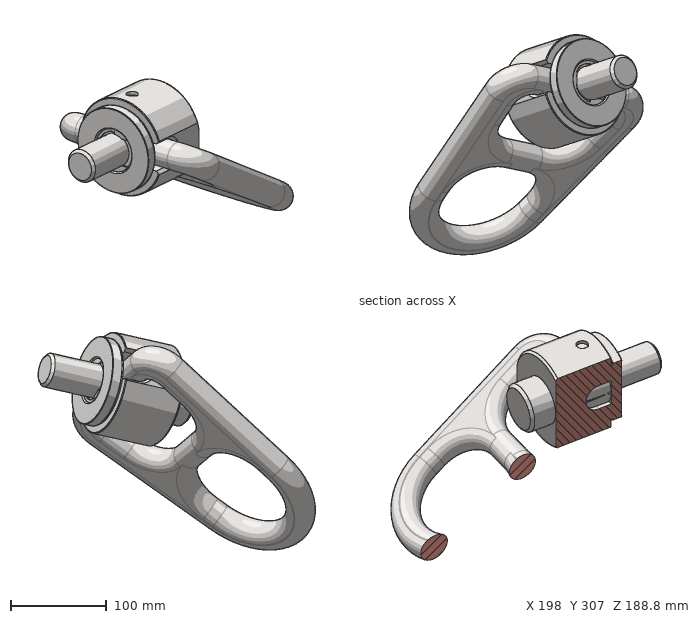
import cadquery as cq
import math


OVERALL_LENGTH = 307.0

RING_TILT = 30.0
BAR_RADIUS = 15.0
RING_TOP = 239.5
RING_TOP_RADIUS = 67.5
CORNER_HALF_SPAN = 61.0
CORNER_RADIUS = 23.0
CROSSBAR_HEIGHT = 107.0
LOWER_CORNER_HALF_SPAN = 48.0
LOWER_CORNER_RADIUS = 27.5
LOWER_TOP_HALF_SPAN = 20.0
LOWER_TOP_RADIUS = 52.2
UPPER_CORNER_HALF_SPAN = 14.5
UPPER_CORNER_RADIUS = 53.5
TOP_FLAT_WIDTH = 1.0

SCREW_TIP = RING_TOP * math.cos(math.radians(RING_TILT)) + BAR_RADIUS - OVERALL_LENGTH
FLANGE_FRONT = -28.5
FLANGE_BACK = -17.2
BLOCK_FRONT = -15.5
BLOCK_BACK = 52.8
BUSHING_BACK = 81.5

SCREW_RADIUS = 18.0
SCREW_CHAMFER = 3.0
FLANGE_RADIUS = 47.0
FLANGE_CHAMFER = 0.5
NECK_RADIUS = 45.5
BLOCK_RADIUS = 54.0
BLOCK_HALF_WIDTH = 50.5
BLOCK_BACK_CHAMFER = 2.5
BLOCK_FRONT_CHAMFER = 1.0
BUSHING_RADIUS = 27.0
BUSHING_CHAMFER = 3.5

POCKET_CLEARANCE = 0.3
POCKET_HALF_HEIGHT = BAR_RADIUS + POCKET_CLEARANCE
POCKET_FLARE = 3.5
FLARE_ANGLE = 45.0
TRUNNION_END = BUSHING_RADIUS

PIN_HOLE_RADIUS = 6.5
PIN_HOLE_Y = 3.7
PIN_HOLE_DEPTH = 4.0

BORE_RADIUS = 23.5
BORE_CHAMFER = 1.5
CLIP_INSET = 1.8
CLIP_THICKNESS = 1.8
CLIP_INNER_RADIUS = 20.5
CLIP_FLAT = 18.5
CLIP_OPENING = 30.0


def ring_path(start, floor, low_half_span, low_radius, top_half_span, top, top_radius):
    """Symmetric path: floor, two low corners, tangent sides, two top corners, top."""
    low_center = floor + low_radius
    top_center = top - top_radius
    span = low_half_span - top_half_span
    rise = top_center - low_center
    side_angle = math.atan2(span, rise) - math.asin((top_radius - low_radius) / math.hypot(span, rise))

    def on_low(angle):
        return (low_half_span + low_radius * math.cos(angle), low_center + low_radius * math.sin(angle))

    def on_top(angle):
        return (top_half_span + top_radius * math.cos(angle), top_center + top_radius * math.sin(angle))

    def mirrored(point):
        return (-point[0], point[1])

    low_middle = on_low((side_angle - math.pi / 2) / 2)
    side_low = on_low(side_angle)
    side_top = on_top(side_angle)
    top_middle = on_top((side_angle + math.pi / 2) / 2)

    path = cq.Workplane("XY").moveTo(start, floor).lineTo(low_half_span, floor)
    path = path.threePointArc(low_middle, side_low).lineTo(*side_top)
    if top_half_span > 0:
        path = path.threePointArc(top_middle, (top_half_span, top)).lineTo(-top_half_span, top)
        path = path.threePointArc(mirrored(top_middle), mirrored(side_top))
    else:
        path = path.threePointArc((0, top), mirrored(side_top))
    path = path.lineTo(*mirrored(side_low))
    path = path.threePointArc(mirrored(low_middle), (-low_half_span, floor))
    return path.lineTo(-start, floor)


def round_edge(path, start, floor, side):
    """Half-round bar along a path, bulging up (side 1) or down (side -1) at the start."""
    profile = (
        cq.Workplane("YZ", origin=(start, floor, 0))
        .moveTo(0, -BAR_RADIUS)
        .threePointArc((side * BAR_RADIUS, 0), (0, BAR_RADIUS))
        .close()
    )
    return profile.sweep(path)


def plate(path):
    return path.close().extrude(BAR_RADIUS, both=True)


def make_ring():
    outer = (TRUNNION_END, 0, CORNER_HALF_SPAN, CORNER_RADIUS, 0, RING_TOP, RING_TOP_RADIUS)
    lower_window = (
        TRUNNION_END, 0, LOWER_CORNER_HALF_SPAN, LOWER_CORNER_RADIUS,
        LOWER_TOP_HALF_SPAN, CROSSBAR_HEIGHT, LOWER_TOP_RADIUS,
    )
    upper_window = (
        0, CROSSBAR_HEIGHT, UPPER_CORNER_HALF_SPAN, UPPER_CORNER_RADIUS,
        0, RING_TOP - TOP_FLAT_WIDTH, RING_TOP_RADIUS - TOP_FLAT_WIDTH,
    )
    ring = plate(ring_path(*outer))
    for window in (lower_window, upper_window):
        ring = ring.cut(plate(ring_path(*window)))
    for outline, side in ((outer, -1), (lower_window, 1), (upper_window, 1)):
        start, floor = outline[:2]
        ring = ring.union(round_edge(ring_path(*outline), start, floor, side))
    return ring.rotate((0, 0, 0), (1, 0, 0), -RING_TILT)


def disc(radius, y_start, y_end):
    """Cylinder on the screw axis between two Y positions."""
    return cq.Workplane("XZ", origin=(0, y_start, 0)).circle(radius).extrude(y_start - y_end)


def make_pocket():
    """U-shaped trunnion pocket from the axis to the +X side, open to the block front and flared at its mouth."""
    def u_outline(half_height):
        return (
            cq.Workplane("YZ", origin=(BLOCK_HALF_WIDTH, 0, 0))
            .moveTo(2 * BLOCK_FRONT, -half_height)
            .lineTo(0, -half_height)
            .threePointArc((half_height, 0), (0, half_height))
            .lineTo(2 * BLOCK_FRONT, half_height)
            .close()
        )

    pocket = u_outline(POCKET_HALF_HEIGHT).extrude(-BLOCK_HALF_WIDTH)
    mouth = u_outline(POCKET_HALF_HEIGHT + POCKET_FLARE).extrude(-POCKET_FLARE, taper=FLARE_ANGLE)
    return pocket.union(mouth)


def make_block():
    block = disc(BLOCK_RADIUS, BLOCK_FRONT, BLOCK_BACK)
    block = block.faces(">Y").chamfer(BLOCK_BACK_CHAMFER)
    block = block.faces("<Y").chamfer(BLOCK_FRONT_CHAMFER)
    flat_sides = cq.Workplane("XY").box(2 * BLOCK_HALF_WIDTH, 4 * BLOCK_RADIUS, 4 * BLOCK_RADIUS)
    block = block.intersect(flat_sides)
    pocket = make_pocket()
    block = block.cut(pocket).cut(pocket.mirror("YZ"))
    pin_hole = (
        cq.Workplane("XY", origin=(0, PIN_HOLE_Y, BLOCK_RADIUS))
        .circle(PIN_HOLE_RADIUS)
        .extrude(-PIN_HOLE_DEPTH)
    )
    return block.cut(pin_hole)


def make_clip_gaps():
    """Spaces left open by the retaining clip: its mouth toward +X and a relief toward -X."""
    clip_front = FLANGE_FRONT + CLIP_INSET
    clip_back = clip_front + CLIP_THICKNESS
    middle = (clip_front + clip_back) / 2
    mouth = cq.Workplane("XY").box(BORE_RADIUS, CLIP_THICKNESS, CLIP_OPENING, centered=(False, True, True))
    mouth = mouth.translate((0, middle, 0)).intersect(disc(BORE_RADIUS, clip_front, clip_back))
    relief = cq.Workplane("XY").box(CLIP_FLAT, CLIP_THICKNESS, 2 * CLIP_INNER_RADIUS)
    relief = relief.translate((-CLIP_FLAT / 2, middle, 0))
    relief = relief.intersect(disc(CLIP_INNER_RADIUS, clip_front, clip_back))
    return mouth.union(relief)


def make_flange():
    flange = disc(FLANGE_RADIUS, FLANGE_FRONT, FLANGE_BACK).edges().chamfer(FLANGE_CHAMFER)
    flange = flange.union(disc(NECK_RADIUS, FLANGE_BACK, BLOCK_FRONT))
    bore = disc(BORE_RADIUS, FLANGE_FRONT, FLANGE_FRONT + CLIP_INSET)
    flange = flange.cut(bore)
    smallest_circle = cq.selectors.RadiusNthSelector(0)
    flange = flange.faces("<Y").edges(smallest_circle).chamfer(BORE_CHAMFER)
    return flange.cut(make_clip_gaps())


def make_swivel():
    bushing = disc(BUSHING_RADIUS, BLOCK_FRONT, BUSHING_BACK).faces(">Y").chamfer(BUSHING_CHAMFER)
    screw = disc(SCREW_RADIUS, SCREW_TIP, FLANGE_BACK).faces("<Y").chamfer(SCREW_CHAMFER)
    return make_block().union(make_flange()).union(bushing).union(screw)


ring = make_ring()
swivel = make_swivel()
result = cq.Compound.makeCompound([*ring.solids().vals(), *swivel.solids().vals()])